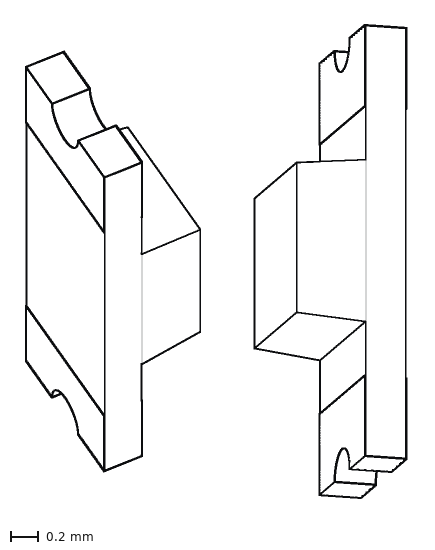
import cadquery as cq
import math

length = 3.2
width = 1.2
board_thickness = 0.3
plating = 0.005
terminal_length = 0.6
notch_diameter = 0.4
lens_height = 0.502
lens_draft = 5.0

board_length = length - 2 * plating
lens_top_width = width - 2 * lens_height * math.tan(math.radians(lens_draft))


def block(height, y_front, y_back):
    """Full-width block centred on X and Z between two Y positions."""
    depth = y_back - y_front
    return cq.Workplane("XY").box(width, depth, height).translate((0, y_front + depth / 2, 0))


def notch_cutters():
    """Cylinders along Y, centred on the two end faces of the part."""
    cutter_length = 2 * board_thickness
    return (
        cq.Workplane("XZ", origin=(0, 1.5 * board_thickness, 0))
        .pushPoints([(0, -length / 2), (0, length / 2)])
        .circle(notch_diameter / 2)
        .extrude(cutter_length)
    )


def make_board():
    """Notched board, without its lens."""
    board = block(board_length, 0, board_thickness)
    return board.cut(notch_cutters())


def make_body():
    """Board carrying a drafted square lens on its back face."""
    lens = (
        cq.Workplane("XZ", origin=(0, board_thickness, 0))
        .rect(width, width)
        .workplane(offset=-lens_height)
        .rect(lens_top_width, lens_top_width)
        .loft()
    )
    return make_board().union(lens)


def make_terminal(end):
    """Plating around one end (+1 upper, -1 lower), open at the notch."""
    envelope = block(terminal_length, -plating, board_thickness + plating)
    envelope = envelope.translate((0, 0, end * (length - terminal_length) / 2))
    return envelope.cut(notch_cutters()).cut(make_board())


body = make_body()
terminals = [make_terminal(end) for end in (-1, 1)]

result = cq.Compound.makeCompound([body.val(), *[terminal.val() for terminal in terminals]])